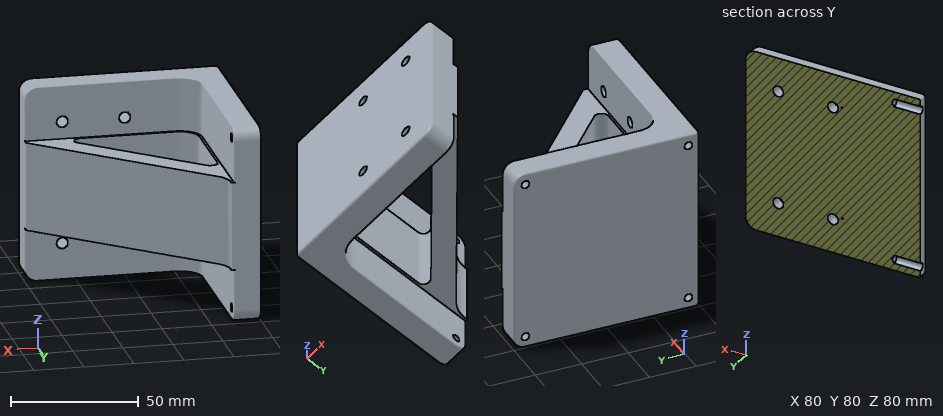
import cadquery as cq
import math

size = 80.0
side_plate = 11.0
front_plate = 12.0

inner_corner_radius = 9.0
outer_corner_radius = 2.0
end_corner_radius = 5.0
outer_edge_radius = 1.0
inner_edge_radius = 0.5

rib_thickness = 36.0
rib_ledge = 1.0
rib_end_drop = 6.0
rib_end_rise = 2.0
rib_blend_radius = 10.0
rib_tip_radius = 0.5
rib_bar_width = 10.0
window_inner_radius = inner_corner_radius - rib_ledge
window_tip_radius = 3.0

front_hole_diameter = 4.5
front_hole_columns = (40.0, 65.0)
front_hole_spacing = 50.0
side_hole_diameter = 3.3
side_hole_inset = 5.0
blind_hole_depth = 12.0
drill_point_angle = 118.0

half = size / 2


def make_plates():
    profile = [
        (0, 0),
        (size, 0),
        (size, front_plate),
        (side_plate, front_plate),
        (side_plate, size),
        (0, size),
    ]
    plates = cq.Workplane("XY").polyline(profile).close().extrude(size)

    inner_corner = cq.selectors.NearestToPointSelector((side_plate, front_plate, half))
    plates = plates.edges(inner_corner).fillet(inner_corner_radius)
    plates = plates.edges("|X and >Y").fillet(end_corner_radius)
    plates = plates.edges("|Y and >X").fillet(end_corner_radius)
    plates = plates.edges("|Z and <X and <Y").fillet(outer_corner_radius)

    outer_rim = cq.selectors.NearestToPointSelector((0, half, size))
    inner_rim = cq.selectors.NearestToPointSelector((side_plate, half, size))
    for rim, radius in ((outer_rim, outer_edge_radius), (inner_rim, inner_edge_radius)):
        plates = plates.edges(rim).fillet(radius)
    return plates


def round_corner(body, x, y, radius):
    """Round the vertical edge of a mid-height body that stands at (x, y)."""
    return body.edges(cq.selectors.NearestToPointSelector((x, y, half))).fillet(radius)


def extrude_mid_height(outline, thickness):
    """Extrude an outline in XY symmetrically about the middle of the height."""
    plane = cq.Workplane("XY", origin=(0, 0, half))
    return plane.polyline(outline).close().extrude(thickness / 2, both=True)


def make_rib():
    window_x = side_plate + rib_ledge
    window_y = front_plate + rib_ledge
    start_y = size - rib_end_drop
    end_y = front_plate + rib_end_rise
    slope = (end_y - start_y) / (size - window_x)

    root_x = side_plate / 2
    root_y = front_plate / 2
    rib = extrude_mid_height(
        [
            (root_x, root_y),
            (size, root_y),
            (size, end_y),
            (window_x, start_y),
            (window_x, size),
            (root_x, size),
        ],
        rib_thickness,
    )
    rib = round_corner(rib, window_x, start_y, rib_blend_radius)
    rib = round_corner(rib, window_x, size, rib_tip_radius)
    rib = round_corner(rib, size, end_y, rib_tip_radius)

    window_top = start_y - rib_bar_width * math.hypot(1, slope)
    window_end = window_x + (window_y - window_top) / slope
    window = extrude_mid_height(
        [(window_x, window_y), (window_end, window_y), (window_x, window_top)],
        rib_thickness,
    )
    window = round_corner(window, window_x, window_y, window_inner_radius)
    window = round_corner(window, window_end, window_y, window_tip_radius)
    window = round_corner(window, window_x, window_top, window_tip_radius)
    return rib.cut(window)


def make_front_holes():
    """Through holes along Y in the front plate."""
    rows = (half - front_hole_spacing / 2, half + front_hole_spacing / 2)
    points = [(x, z) for x in front_hole_columns for z in rows]
    return cq.Workplane("XZ").pushPoints(points).circle(front_hole_diameter / 2).extrude(-front_plate)


def make_side_hole(y, z, depth):
    """Drilled hole along +X with a conical end beyond its full-diameter depth."""
    radius = side_hole_diameter / 2
    point_length = radius / math.tan(math.radians(drill_point_angle / 2))
    half_section = [(0, 0), (depth + point_length, 0), (depth, radius), (0, radius)]
    hole = cq.Workplane("XY").polyline(half_section).close().revolve(360, (0, 0, 0), (1, 0, 0))
    return hole.translate((0, y, z))


result = make_plates().union(make_rib()).cut(make_front_holes())
for hole_z in (side_hole_inset, size - side_hole_inset):
    result = result.cut(make_side_hole(side_hole_inset, hole_z, blind_hole_depth))
    result = result.cut(make_side_hole(size - side_hole_inset, hole_z, side_plate))